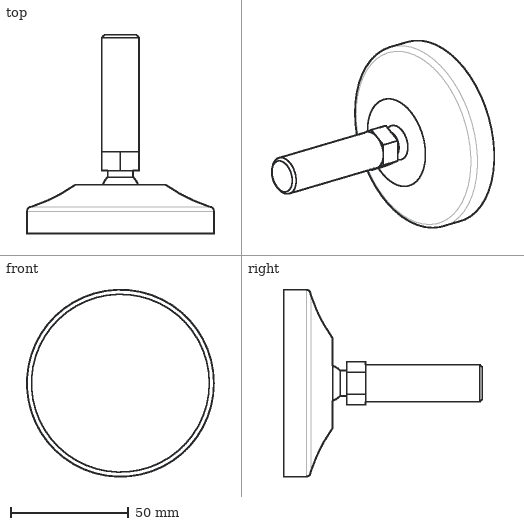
import cadquery as cq
import math

total_length = 85.0
pad_diameter = 80.0
stud_diameter = 16.0
neck_diameter = 11.0
recess_diameter = 76.0
recess_depth = 3.0

rim_height = 9.6
rim_round = (pad_diameter - recess_diameter) / 2
pad_height = 21.0
pad_top_radius = 19.2
flare_sag = 0.8

hex_start = 26.95
hex_length = 8.2
hex_end = hex_start + hex_length
ball_center = 18.4
stud_chamfer = 1.2

pad_radius = pad_diameter / 2
ball_radius = stud_diameter / 2


def cylinder(diameter, start, end):
    """Round bar on the Y axis between two stations."""
    profile = cq.Workplane("XZ", origin=(0, start, 0)).circle(diameter / 2)
    return profile.extrude(start - end)


def make_pad():
    """Flared disc with a rounded rim and a shallow recess underneath."""
    flare_start = (pad_radius - rim_round, rim_height + rim_round)
    flare_end = (pad_top_radius, pad_height)
    chord_x = flare_end[0] - flare_start[0]
    chord_y = flare_end[1] - flare_start[1]
    chord = math.hypot(chord_x, chord_y)
    flare_middle = (
        (flare_start[0] + flare_end[0]) / 2 - flare_sag * chord_y / chord,
        (flare_start[1] + flare_end[1]) / 2 + flare_sag * chord_x / chord,
    )
    round_middle = (
        pad_radius - rim_round + rim_round * math.cos(math.pi / 4),
        rim_height + rim_round * math.sin(math.pi / 4),
    )
    profile = (
        cq.Workplane("XY")
        .lineTo(pad_radius, 0)
        .lineTo(pad_radius, rim_height)
        .threePointArc(round_middle, flare_start)
        .threePointArc(flare_middle, flare_end)
        .lineTo(0, pad_height)
        .close()
    )
    pad = profile.revolve(360, (0, 0, 0), (0, 1, 0))
    return pad.cut(cylinder(recess_diameter, 0, recess_depth))


def make_joint():
    """Ball partly sunk in the pad, with the neck rising from it."""
    ball = cq.Workplane("XY").sphere(ball_radius).translate((0, ball_center, 0))
    return ball.union(cylinder(neck_diameter, ball_center, hex_start))


def make_hexagon():
    """Wrench hexagon with flats facing X and corners facing Z."""
    corner_diameter = stud_diameter / math.cos(math.pi / 6)
    plane = cq.Workplane("XZ", origin=(0, hex_start, 0))
    hexagon = plane.transformed(rotate=(0, 0, 90)).polygon(6, corner_diameter)
    return hexagon.extrude(-hex_length)


def make_stud():
    """Plain stud with a chamfered free end."""
    stud = cylinder(stud_diameter, hex_end, total_length)
    return stud.faces(">Y").chamfer(stud_chamfer)


result = make_pad().union(make_joint()).union(make_hexagon()).union(make_stud())